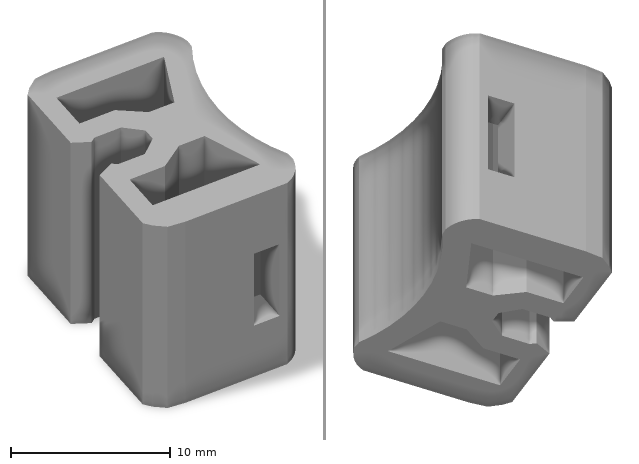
import cadquery as cq

width = 16.8
depth = 11.29
height = 15.0
half_width = width / 2

saddle_low_y = 9.68
ear_inner = (5.98, 11.25)
ear_crown = (6.55, depth)
ear_shoulder = (7.22, 11.07)
ear_outer = (8.2, 10.21)
side_back_y = 9.81

side_front_y = 2.4
front_corner = [(8.27, 1.18), (7.68, 0.42), (7.17, 0)]

pocket_outer_x = 6.0
pocket_inner_x = 1.88
pocket_front_inner_x = 3.12
pocket_back_y = 9.24
pocket_slope_end_y = 7.6
pocket_taper_back_y = 5.73
pocket_taper_front_y = 3.98
pocket_front_y = 1.41

slot_mouth = 1.8
slot_throat = 1.21
slot_cavity = 1.48
slot_roof = 0.45
throat_y = 1.18
cavity_front_y = 1.55
cavity_back_y = 3.48
roof_y = 4.65

window_front_y = 7.38
window_bottom = 4.23
window_height = 5.95


def mirrored(points):
    """Reflect points across X = 0 and reverse their order."""
    return [(-x, y) for x, y in reversed(points)]


def mirror_point(point):
    return (-point[0], point[1])


def make_body():
    outline = cq.Workplane("XY").polyline([mirror_point(front_corner[-1])] + front_corner[::-1])
    outline = (
        outline.lineTo(half_width, side_front_y)
        .lineTo(half_width, side_back_y)
        .lineTo(*ear_outer)
        .threePointArc(ear_shoulder, ear_crown)
        .lineTo(*ear_inner)
        .threePointArc((0, saddle_low_y), mirror_point(ear_inner))
        .lineTo(*mirror_point(ear_crown))
        .threePointArc(mirror_point(ear_shoulder), mirror_point(ear_outer))
        .lineTo(-half_width, side_back_y)
        .lineTo(-half_width, side_front_y)
    )
    for point in front_corner[:-1]:
        outline = outline.lineTo(*mirror_point(point))
    return outline.close().extrude(height)


def make_pocket():
    points = [
        (pocket_outer_x, pocket_front_y),
        (pocket_outer_x, pocket_back_y),
        (pocket_inner_x, pocket_slope_end_y),
        (pocket_inner_x, pocket_taper_back_y),
        (pocket_front_inner_x, pocket_taper_front_y),
        (pocket_front_inner_x, pocket_front_y),
    ]
    return cq.Workplane("XY").polyline(points).close().extrude(height)


def make_slot():
    right_side = [
        (slot_mouth, 0),
        (slot_throat, throat_y),
        (slot_cavity, cavity_front_y),
        (slot_cavity, cavity_back_y),
        (slot_roof, roof_y),
    ]
    points = right_side + mirrored(right_side)
    return cq.Workplane("XY").polyline(points).close().extrude(height)


def make_window():
    return cq.Workplane("XY").box(
        half_width - pocket_outer_x,
        pocket_back_y - window_front_y,
        window_height,
        centered=False,
    ).translate((pocket_outer_x, window_front_y, window_bottom))


result = make_body().cut(make_slot())
for side_cut in (make_pocket(), make_window()):
    result = result.cut(side_cut).cut(side_cut.mirror("YZ"))